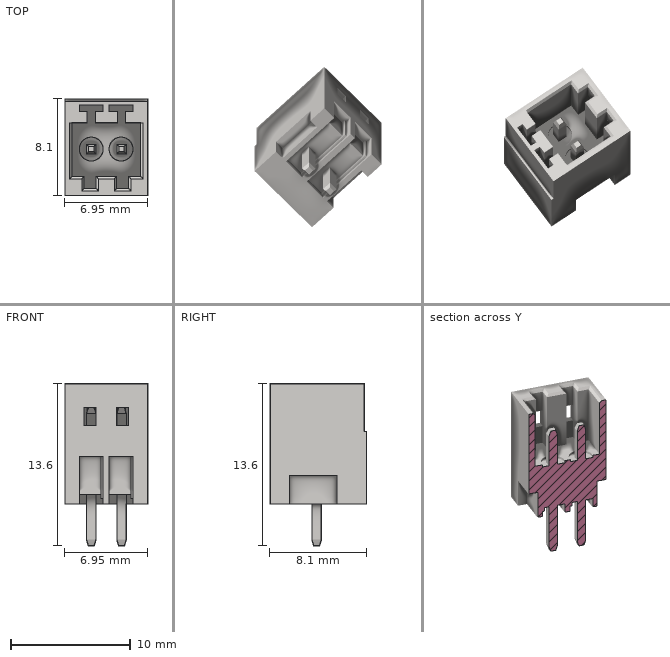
import cadquery as cq


HOUSING_WIDTH = 6.95
HOUSING_FRONT = -3.9
HOUSING_BACK = 4.2
HOUSING_HEIGHT = 10.1
BACK_STEP_DEPTH = 0.2
BACK_STEP_HEIGHT = 6.1

PIN_PITCH = 2.54
PIN_SIZE = 0.8
PIN_BOTTOM = -3.5
PIN_TOP = 8.1
PIN_TIP_LENGTH = 0.5
LOWER_TIP_SIZE = 0.5
UPPER_TIP_SIZE = 0.45

POCKET_PITCH = 2.5
POCKET_MIDDLE = -0.02
POCKET_WIDTH = 2.0

FLOOR_Z = 5.0
CAVITY_WIDTH = 5.75
CAVITY_FRONT = -2.29
CAVITY_BACK = 2.2
BACK_DRAFT = 0.04
KEY_WIDTH = 1.0
KEY_PITCH = 2.73
KEY_FRONT = -3.3
LEAD_IN_WIDTH = 0.2
LEAD_IN_DEPTH = 0.2
PIN_RECESS_DEPTH = 0.2

T_STEM_WIDTH = 0.7
T_BAR_FRONT = 3.14
T_BAR_BACK = 3.7

WINDOW_BOTTOM = 6.6
WINDOW_HEIGHT = 1.5

FOOT_POCKET_HEIGHT = 4.0
FOOT_POCKET_DEPTH = 0.8
FOOT_LEDGE_WIDTH = 0.18
FOOT_LEDGE_DEPTH = 0.5
FOOT_LEDGE_BOTTOM = 0.47
UNDERCUT_HEIGHT = 0.8
UNDERCUT_BACK = 1.7

NOTCH_FRONT = -2.28
NOTCH_BACK = UNDERCUT_BACK
NOTCH_HEIGHT = 2.4
NOTCH_DEPTH = 0.8

PIN_CENTRES = [-PIN_PITCH / 2, PIN_PITCH / 2]
KEY_CENTRES = [-KEY_PITCH / 2, KEY_PITCH / 2]
POCKET_CENTRES = [POCKET_MIDDLE - POCKET_PITCH / 2, POCKET_MIDDLE + POCKET_PITCH / 2]


def block(x_min, x_max, y_min, y_max, z_min, z_max):
    """Axis-aligned block between the given limits."""
    size = (x_max - x_min, y_max - y_min, z_max - z_min)
    return cq.Workplane("XY").box(*size, centered=False).translate((x_min, y_min, z_min))


def centred_block(x_centre, width, y_min, y_max, z_min, z_max):
    """Block of the given width, centred on x_centre."""
    return block(x_centre - width / 2, x_centre + width / 2, y_min, y_max, z_min, z_max)


def housing_block():
    """Plain housing, set back at the top of its rear face."""
    housing = centred_block(0, HOUSING_WIDTH, HOUSING_FRONT, HOUSING_BACK, 0, HOUSING_HEIGHT)
    step_front = HOUSING_BACK - BACK_STEP_DEPTH
    return housing.cut(
        centred_block(0, HOUSING_WIDTH, step_front, HOUSING_BACK, BACK_STEP_HEIGHT, HOUSING_HEIGHT)
    )


def cavity_outline(growth, back_growth):
    """Cavity outline with two key slots, its back wall grown apart from its other walls."""
    half_width = CAVITY_WIDTH / 2 + growth
    back = CAVITY_BACK + back_growth
    front = CAVITY_FRONT - growth
    key_front = KEY_FRONT - growth
    half_key = KEY_WIDTH / 2 + growth
    points = [(-half_width, back), (-half_width, front)]
    for x in KEY_CENTRES:
        points += [
            (x - half_key, front),
            (x - half_key, key_front),
            (x + half_key, key_front),
            (x + half_key, front),
        ]
    points += [(half_width, front), (half_width, back)]
    return points


def cavity_section(z, lower_outline, height, upper_outline):
    """Part of the cavity that blends from one outline at z to another at the given height above."""
    return (
        cq.Workplane("XY", origin=(0, 0, z))
        .polyline(lower_outline)
        .close()
        .workplane(offset=height)
        .polyline(upper_outline)
        .close()
        .loft(ruled=True)
    )


def mating_cavity():
    """Cavity with a drafted back wall, a bevelled mouth and a shallow round recess at each pin."""
    mouth_z = HOUSING_HEIGHT - LEAD_IN_DEPTH
    floor_outline = cavity_outline(0, 0)
    drafted_outline = cavity_outline(0, BACK_DRAFT)
    rim_outline = cavity_outline(LEAD_IN_WIDTH, 0)
    cavity = cavity_section(FLOOR_Z, floor_outline, HOUSING_HEIGHT - FLOOR_Z, drafted_outline)
    mouth = cavity_section(mouth_z, floor_outline, LEAD_IN_DEPTH, rim_outline)
    recesses = (
        cq.Workplane("XY", origin=(0, 0, FLOOR_Z - PIN_RECESS_DEPTH))
        .pushPoints([(x, 0) for x in POCKET_CENTRES])
        .circle(POCKET_WIDTH / 2)
        .extrude(PIN_RECESS_DEPTH)
    )
    return cavity.union(mouth).union(recesses)


def latch_slot(pin_x, pocket_x):
    """T-shaped slot: the stem lines up with the pin and the bar with the pocket."""
    stem = centred_block(pin_x, T_STEM_WIDTH, CAVITY_BACK, T_BAR_BACK, FLOOR_Z, HOUSING_HEIGHT)
    bar = centred_block(pocket_x, POCKET_WIDTH, T_BAR_FRONT, T_BAR_BACK, FLOOR_Z, HOUSING_HEIGHT)
    return stem.union(bar)


def front_window(x):
    """Opening through the front wall into a key slot."""
    return centred_block(
        x, KEY_WIDTH, HOUSING_FRONT, KEY_FRONT, WINDOW_BOTTOM, WINDOW_BOTTOM + WINDOW_HEIGHT
    )


def foot_pocket(x):
    """Front pocket with a shallower ledge on its right, undercut at the bottom past the pin."""
    left = x - POCKET_WIDTH / 2
    right = x + POCKET_WIDTH / 2
    ledge_left = right - FOOT_LEDGE_WIDTH
    ledge_front = HOUSING_FRONT + FOOT_LEDGE_DEPTH
    pocket_back = HOUSING_FRONT + FOOT_POCKET_DEPTH
    main = block(left, ledge_left, HOUSING_FRONT, pocket_back, 0, FOOT_POCKET_HEIGHT)
    beside_ledge = block(ledge_left, right, HOUSING_FRONT, ledge_front, 0, FOOT_POCKET_HEIGHT)
    undercut = block(left, ledge_left, HOUSING_FRONT, UNDERCUT_BACK, 0, UNDERCUT_HEIGHT)
    under_ledge = block(ledge_left, right, HOUSING_FRONT, UNDERCUT_BACK, 0, FOOT_LEDGE_BOTTOM)
    return main.union(beside_ledge).union(undercut).union(under_ledge)


def side_notches():
    """Notch low on each side face."""
    half_width = HOUSING_WIDTH / 2
    inner = half_width - NOTCH_DEPTH
    left = block(-half_width, -inner, NOTCH_FRONT, NOTCH_BACK, 0, NOTCH_HEIGHT)
    return left.union(left.mirror("YZ"))


def pin(x):
    """Square pin, tapered at both ends."""
    shaft_bottom = PIN_BOTTOM + PIN_TIP_LENGTH
    shaft_top = PIN_TOP - PIN_TIP_LENGTH
    shaft = centred_block(x, PIN_SIZE, -PIN_SIZE / 2, PIN_SIZE / 2, shaft_bottom, shaft_top)
    upper_tip = pin_tip(x, shaft_top, PIN_SIZE, UPPER_TIP_SIZE)
    lower_tip = pin_tip(x, PIN_BOTTOM, LOWER_TIP_SIZE, PIN_SIZE)
    return shaft.union(upper_tip).union(lower_tip)


def pin_tip(x, z_bottom, bottom_size, top_size):
    """Square frustum of the tip length, standing on z_bottom."""
    return (
        cq.Workplane("XY", origin=(x, 0, z_bottom))
        .rect(bottom_size, bottom_size)
        .workplane(offset=PIN_TIP_LENGTH)
        .rect(top_size, top_size)
        .loft(ruled=True)
    )


result = housing_block().cut(mating_cavity()).cut(side_notches())
for pin_x, pocket_x in zip(PIN_CENTRES, POCKET_CENTRES):
    result = result.cut(latch_slot(pin_x, pocket_x))
    result = result.cut(foot_pocket(pocket_x))
for key_x in KEY_CENTRES:
    result = result.cut(front_window(key_x))
for pin_x in PIN_CENTRES:
    result = result.union(pin(pin_x))